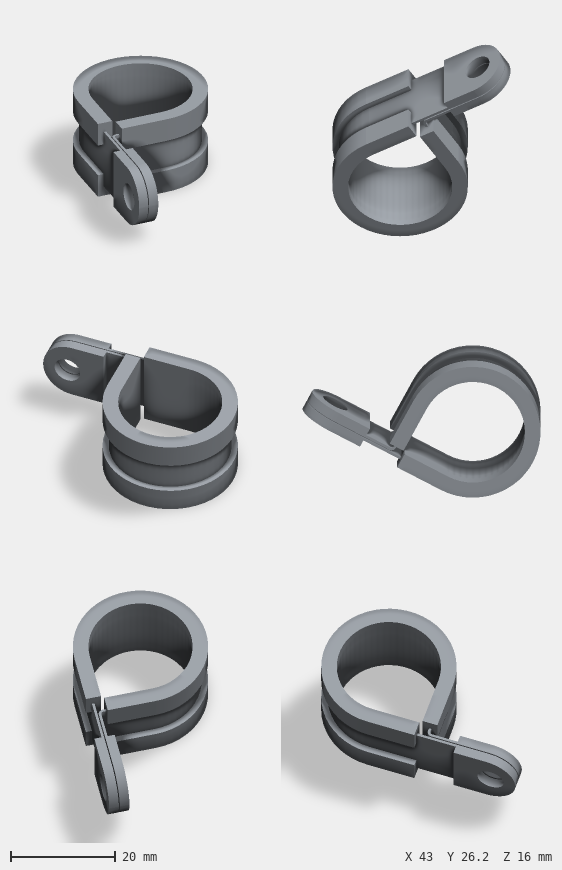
import cadquery as cq
import math

diagonal = math.sqrt(0.5)

bore_radius = 10.0
cushion_radius = 13.0
cushion_width = 16.0
leg_length = 9.5

strap_thickness = 0.5
strap_inner_radius = 11.3
strap_outer_radius = strap_inner_radius + strap_thickness
strap_width = 12.0
groove_width = 6.5

bend_inner_radius = 0.5
bend_outer_radius = bend_inner_radius + strap_thickness

tab_gap = 0.2
pad_thickness = 1.9
pad_start_x = 17.5
tab_end_x = 30.0
tab_corner_radius = 5.9
hole_x = 25.0
hole_diameter = 5.3

lower_tab_top = -strap_inner_radius
upper_tab_bottom = lower_tab_top + tab_gap


def loop_band(inner_radius, outer_radius, width):
    """Three-quarter ring with one leg along +X and one along -Y, centred on Z = 0."""
    inner_mid = inner_radius * diagonal
    outer_mid = outer_radius * diagonal
    return (
        cq.Workplane("XY")
        .workplane(offset=-width / 2)
        .moveTo(leg_length, -outer_radius)
        .lineTo(0, -outer_radius)
        .threePointArc((-outer_mid, outer_mid), (outer_radius, 0))
        .lineTo(outer_radius, -leg_length)
        .lineTo(inner_radius, -leg_length)
        .lineTo(inner_radius, 0)
        .threePointArc((-inner_mid, inner_mid), (0, -inner_radius))
        .lineTo(leg_length, -inner_radius)
        .close()
        .extrude(width)
    )


def slab(x_start, x_end, y_bottom, thickness):
    """Flat plate of strap width lying parallel to the XZ plane."""
    length = x_end - x_start
    plate = cq.Workplane("XY").box(length, thickness, strap_width, centered=(False, False, True))
    return plate.translate((x_start, y_bottom, 0))


def cushion():
    """Rubber cushion with the groove that leaves the middle of the strap open."""
    body = loop_band(bore_radius, cushion_radius, cushion_width)
    groove = loop_band(strap_outer_radius, cushion_radius, groove_width)
    return body.cut(groove)


def lower_tab():
    """Straight continuation of the lower strap leg, thickened outward into a pad."""
    strap = slab(leg_length, pad_start_x, lower_tab_top - strap_thickness, strap_thickness)
    pad = slab(pad_start_x, tab_end_x, lower_tab_top - pad_thickness, pad_thickness)
    return strap.union(pad)


def upper_tab():
    """Strap leg that leaves the cushion downward, bends to +X and thickens into a pad."""
    bend_x = strap_inner_radius + bend_outer_radius
    bend_y = upper_tab_bottom + bend_outer_radius
    strap_top = upper_tab_bottom + strap_thickness
    strap = (
        cq.Workplane("XY")
        .workplane(offset=-strap_width / 2)
        .moveTo(strap_inner_radius, -leg_length)
        .lineTo(strap_inner_radius, bend_y)
        .threePointArc(
            (bend_x - bend_outer_radius * diagonal, bend_y - bend_outer_radius * diagonal),
            (bend_x, upper_tab_bottom),
        )
        .lineTo(pad_start_x, upper_tab_bottom)
        .lineTo(pad_start_x, strap_top)
        .lineTo(bend_x, strap_top)
        .threePointArc(
            (bend_x - bend_inner_radius * diagonal, bend_y - bend_inner_radius * diagonal),
            (strap_outer_radius, bend_y),
        )
        .lineTo(strap_outer_radius, -leg_length)
        .close()
        .extrude(strap_width)
    )
    pad = slab(pad_start_x, tab_end_x, upper_tab_bottom, pad_thickness)
    return strap.union(pad)


def tab_outline():
    """Column along Y with the tabs' XZ outline: rounded outer corners and the screw hole."""
    column_depth = 2 * pad_thickness + tab_gap
    column = slab(leg_length, tab_end_x, lower_tab_top - pad_thickness, column_depth)
    hole = (
        cq.Workplane("XZ")
        .center(hole_x, 0)
        .circle(hole_diameter / 2)
        .extrude(2 * cushion_radius)
    )
    return column.edges("|Y and >X").fillet(tab_corner_radius).cut(hole)


def tabs():
    """Both tabs trimmed to their rounded outline, with the screw hole through them."""
    return upper_tab().union(lower_tab()).intersect(tab_outline())


result = cushion().union(tabs())